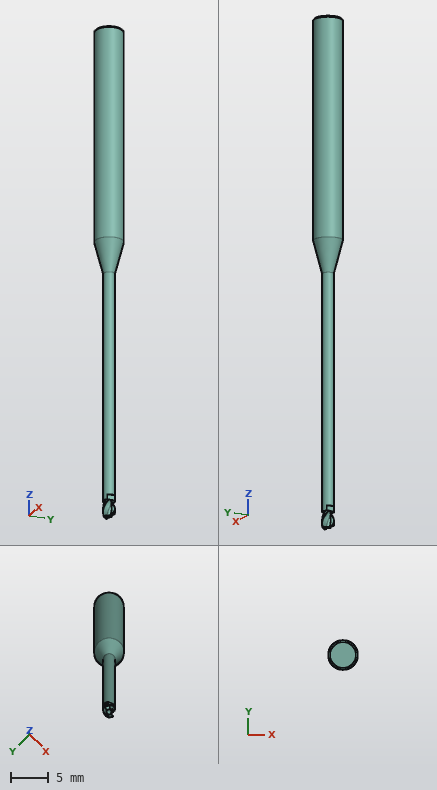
import cadquery as cq
import math

total_length = 70.0
cutter_length = 2.25
runout_top = 2.95
neck_top = 35.0
cone_top = 39.55

shank_diameter = 4.0
shank_radius = shank_diameter / 2
shank_chamfer = 0.3
neck_diameter = 1.6
neck_radius = neck_diameter / 2
runout_width = 1.2

cutter_radius = neck_radius
core_radius = 0.35
tooth_thickness = 0.4
helix_lead = 6.45
tooth_count = 2
end_relief = 0.2
dish_radius = 0.5
dish_depth = 0.2


def make_shank():
    """Shank, cone and slender neck as one turned body with two runout flats."""
    body = (
        cq.Workplane("XZ")
        .moveTo(0, cutter_length)
        .lineTo(neck_radius, cutter_length)
        .lineTo(neck_radius, neck_top)
        .lineTo(shank_radius, cone_top)
        .lineTo(shank_radius, total_length - shank_chamfer)
        .lineTo(shank_radius - shank_chamfer, total_length)
        .lineTo(0, total_length)
        .close()
        .revolve(360, (0, 0, 0), (0, 1, 0))
    )
    runout_height = runout_top - cutter_length
    for side in (-1, 1):
        flat_cut = cq.Workplane("XY").box(
            neck_radius, 2 * neck_radius, runout_height, centered=(True, True, False)
        )
        flat_center = side * (runout_width + neck_radius) / 2
        body = body.cut(flat_cut.translate((flat_center, 0, cutter_length)))
    return body.solids()


def make_tooth():
    """One right-hand helical tooth whose cutting edge starts on the +X axis."""
    land_x = math.sqrt(cutter_radius**2 - tooth_thickness**2)
    land_angle = math.asin(tooth_thickness / cutter_radius) / 2
    land_middle = (cutter_radius * math.cos(land_angle), cutter_radius * math.sin(land_angle))
    tooth = (
        cq.Workplane("XY")
        .lineTo(cutter_radius, 0)
        .threePointArc(land_middle, (land_x, tooth_thickness))
        .lineTo(0, core_radius)
        .close()
        .twistExtrude(cutter_length, 360 * cutter_length / helix_lead)
    )
    relief_cut = (
        cq.Workplane("YZ")
        .lineTo(cutter_radius, 0)
        .lineTo(cutter_radius, end_relief * cutter_radius / tooth_thickness)
        .close()
        .extrude(cutter_radius)
    )
    return tooth.cut(relief_cut)


def make_cutter():
    """Core with its teeth and a conical hollow in the end face."""
    cutter = cq.Workplane("XY").circle(core_radius).extrude(cutter_length)
    for index in range(tooth_count):
        angle = 360 / tooth_count * index
        cutter = cutter.union(make_tooth().rotate((0, 0, 0), (0, 0, 1), angle))
    dish = cq.Workplane(cq.Solid.makeCone(dish_radius, 0, dish_depth))
    return cutter.cut(dish).solids()


shank = make_shank()
cutter = make_cutter()
result = cq.Compound.makeCompound([shank.val(), cutter.val()])